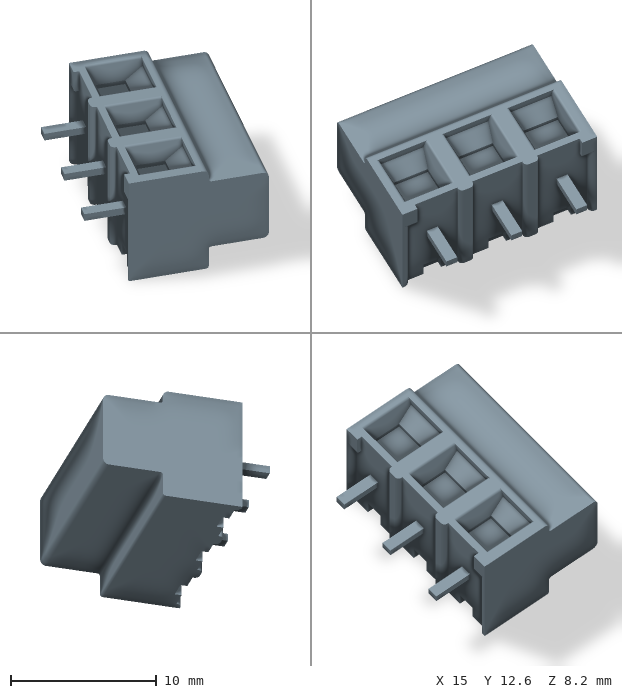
import cadquery as cq
import math


pole_count = 3
length = 15.0
pitch = length / pole_count
depth = 10.0
height = 8.2
shoulder_y = 5.72
tail_bottom = 1.8
tail_top = 7.26
tail_radius = 0.4
shoulder_radius = 0.4
inner_radius = 0.2
heel_radius = 0.2

recess_depth = 0.4
lip_flat = 0.16
pad_width = 1.15
pad_height = 1.64
pad_radius = 0.18
rib_width = 1.14
rib_radius = 0.33

notch_width = 1.36
notch_height = 1.04
notch_depth = 0.5

pin_width = 0.84
pin_thickness = 0.55
pin_center_z = 4.44
pin_reach = 2.58

pocket_front = 0.93
pocket_back = 5.0
pocket_depth = 1.68
funnel_depth = 1.36
floor_width = 2.64
floor_front = 1.58
floor_back = 3.69
front_wall_depth = 0.81
back_wall_depth = 0.6
rim_radius = 0.2
funnel_spread = 0.52
end_funnel_spread = 0.28

pole_centers = [pitch * (index + 0.5) for index in range(pole_count)]
pole_borders = [pitch * index for index in range(1, pole_count)]


def block(x_range, y_range, z_range):
    """Axis-aligned box between the given limits."""
    sizes = [high - low for low, high in (x_range, y_range, z_range)]
    corner = (x_range[0], y_range[0], z_range[0])
    return cq.Workplane("XY").box(*sizes, centered=False).translate(corner)


def make_housing():
    """Stepped side profile run along X, with its long edges rounded."""
    body = block((0, length), (0, shoulder_y), (0, height))
    tail = block((0, length), (0, depth), (tail_bottom, tail_top))
    housing = body.union(tail)

    def round_edge(solid, y, z, radius):
        probe = cq.selectors.NearestToPointSelector((length / 2, y, z))
        return solid.edges("|X").edges(probe).fillet(radius)

    housing = round_edge(housing, depth, tail_top, tail_radius)
    housing = round_edge(housing, depth, tail_bottom, tail_radius)
    housing = round_edge(housing, shoulder_y, height, shoulder_radius)
    housing = round_edge(housing, shoulder_y, 0, heel_radius)
    housing = round_edge(housing, shoulder_y, tail_top, inner_radius)
    return round_edge(housing, shoulder_y, tail_bottom, inner_radius)


def make_lip():
    """Full-height strip at the left end whose inner front edge is a quarter round."""
    bend = recess_depth * math.sqrt(0.5)
    return (
        cq.Workplane("XY")
        .lineTo(lip_flat, 0)
        .threePointArc(
            (lip_flat + bend, recess_depth - bend),
            (lip_flat + recess_depth, recess_depth),
        )
        .lineTo(0, recess_depth)
        .close()
        .extrude(height)
    )


def make_pad():
    """Upper left corner pad with its lower front edge rounded."""
    pad = block((0, pad_width), (0, recess_depth), (height - pad_height, height))
    return pad.edges("<Y and <Z").fillet(pad_radius)


def make_rib(center_x):
    """Vertical rib between two poles with rounded front edges."""
    rib = block(
        (center_x - rib_width / 2, center_x + rib_width / 2), (0, recess_depth), (0, height)
    )
    return rib.edges("<Y and |Z").fillet(rib_radius)


def make_notch(center_x):
    return block(
        (center_x - notch_width / 2, center_x + notch_width / 2),
        (0, recess_depth + notch_depth),
        (0, notch_height),
    )


def make_pin(center_x):
    return block(
        (center_x - pin_width / 2, center_x + pin_width / 2),
        (-pin_reach, recess_depth),
        (pin_center_z - pin_thickness / 2, pin_center_z + pin_thickness / 2),
    )


def rim_points(side, spread):
    """Rim, middle and end points (X, Z) of the arc that rounds the top of a sloping side wall.

    The wall drops from the top face to the funnel bottom while moving inward by spread.
    Side is +1 for the right wall and -1 for the left; X is measured from the pole center.
    """
    lean = math.atan2(spread, funnel_depth)
    turn = math.pi / 2 - lean
    rim_x = floor_width / 2 + spread + rim_radius * math.tan(turn / 2)

    def on_arc(angle):
        x = rim_x - rim_radius * math.sin(angle)
        return side * x, height - rim_radius * (1 - math.cos(angle))

    return on_arc(0), on_arc(turn / 2), on_arc(turn)


def make_pocket(center_x, right_spread):
    """Funnel pocket: the overlap of a profile run along Y and a profile run along X."""
    funnel_z = height - funnel_depth
    floor_z = height - pocket_depth
    half_floor = floor_width / 2
    right_rim, right_middle, right_end = rim_points(1, right_spread)
    left_rim, left_middle, left_end = rim_points(-1, funnel_spread)

    across = (
        cq.Workplane("XZ")
        .moveTo(*left_rim)
        .threePointArc(left_middle, left_end)
        .lineTo(-half_floor, funnel_z)
        .lineTo(-half_floor, floor_z)
        .lineTo(half_floor, floor_z)
        .lineTo(half_floor, funnel_z)
        .lineTo(*right_end)
        .threePointArc(right_middle, right_rim)
        .close()
        .extrude(-shoulder_y)
        .translate((center_x, 0, 0))
    )
    along = (
        cq.Workplane("YZ")
        .polyline([
            (pocket_front, height),
            (pocket_front, height - front_wall_depth),
            (floor_front, funnel_z),
            (floor_front, floor_z),
            (floor_back, floor_z),
            (floor_back, funnel_z),
            (pocket_back, height - back_wall_depth),
            (pocket_back, height),
        ])
        .close()
        .extrude(length)
    )
    return across.intersect(along)


result = make_housing().cut(block((0, length), (0, recess_depth), (0, height)))

for left_part in (make_lip(), make_pad()):
    right_part = left_part.mirror("YZ").translate((length, 0, 0))
    result = result.union(left_part).union(right_part)

for border_x in pole_borders:
    result = result.union(make_rib(border_x))

for pole_x in pole_centers:
    is_last = pole_x == pole_centers[-1]
    wall_spread = end_funnel_spread if is_last else funnel_spread
    result = result.cut(make_pocket(pole_x, wall_spread))
    result = result.cut(make_notch(pole_x))
    result = result.union(make_pin(pole_x))